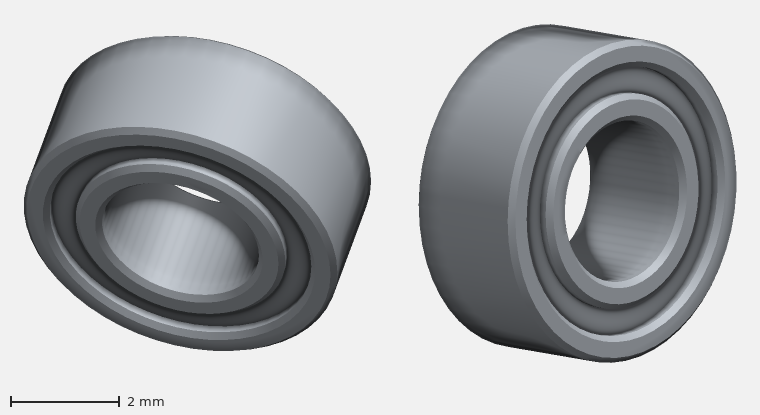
import cadquery as cq

outer_diameter = 6.0
bore_diameter = 3.0
width = 2.5
chamfer = 0.1

recess_outer_radius = 2.605
recess_inner_radius = 1.9
recess_depth = 0.25


def ring_body():
    """Plain ring with all four edges chamfered, centred on the origin."""
    return (
        cq.Workplane("XZ", origin=(0, width / 2, 0))
        .circle(outer_diameter / 2)
        .circle(bore_diameter / 2)
        .extrude(width)
        .faces("<Y or >Y")
        .edges()
        .chamfer(chamfer)
    )


def shield_recess():
    """Annular recess in the -Y face: chamfered rims, then straight walls to a flat floor."""
    face_y = -width / 2
    chamfer_y = face_y + chamfer
    floor_y = face_y + recess_depth
    outer_wall_radius = recess_outer_radius - chamfer
    inner_wall_radius = recess_inner_radius + chamfer
    return (
        cq.Workplane("XY")
        .moveTo(recess_inner_radius, face_y)
        .lineTo(recess_outer_radius, face_y)
        .lineTo(outer_wall_radius, chamfer_y)
        .lineTo(outer_wall_radius, floor_y)
        .lineTo(inner_wall_radius, floor_y)
        .lineTo(inner_wall_radius, chamfer_y)
        .close()
        .revolve(360, (0, 0, 0), (0, 1, 0))
    )


recess = shield_recess()
result = ring_body().cut(recess).cut(recess.mirror("XZ"))